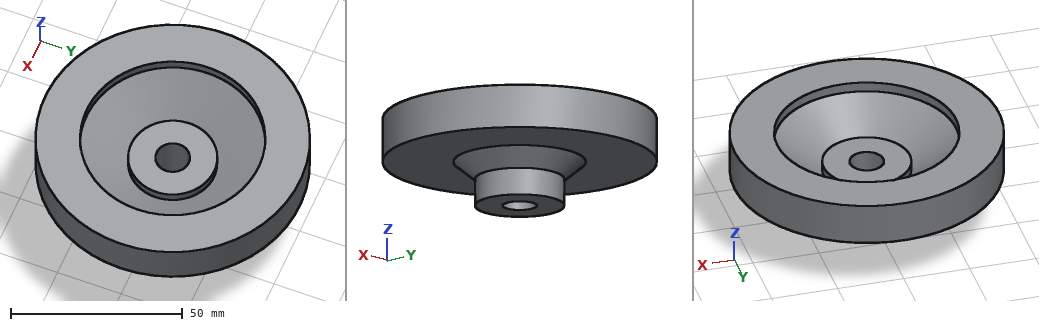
import cadquery as cq

total_height = 26.0
rim_diameter = 80.0
rim_height = 12.8
dish_diameter = 54.0
dish_wall_depth = 3.0
hub_diameter = 26.0
hub_top_depth = 10.0
hub_stub_length = 8.0
cone_diameter = 38.6
bore_diameter = 10.0

rim_radius = rim_diameter / 2
dish_radius = dish_diameter / 2
hub_radius = hub_diameter / 2
cone_radius = cone_diameter / 2
bore_radius = bore_diameter / 2

rim_bottom = total_height - rim_height
hub_top = total_height - hub_top_depth
dish_wall_bottom = total_height - dish_wall_depth
dish_floor = rim_bottom

half_section = [
    (bore_radius, 0),
    (hub_radius, 0),
    (hub_radius, hub_stub_length),
    (cone_radius, rim_bottom),
    (rim_radius, rim_bottom),
    (rim_radius, total_height),
    (dish_radius, total_height),
    (dish_radius, dish_wall_bottom),
    (hub_radius, dish_floor),
    (hub_radius, hub_top),
    (bore_radius, hub_top),
]

result = (
    cq.Workplane("XZ")
    .polyline(half_section)
    .close()
    .revolve(360, (0, 0, 0), (0, 1, 0))
)